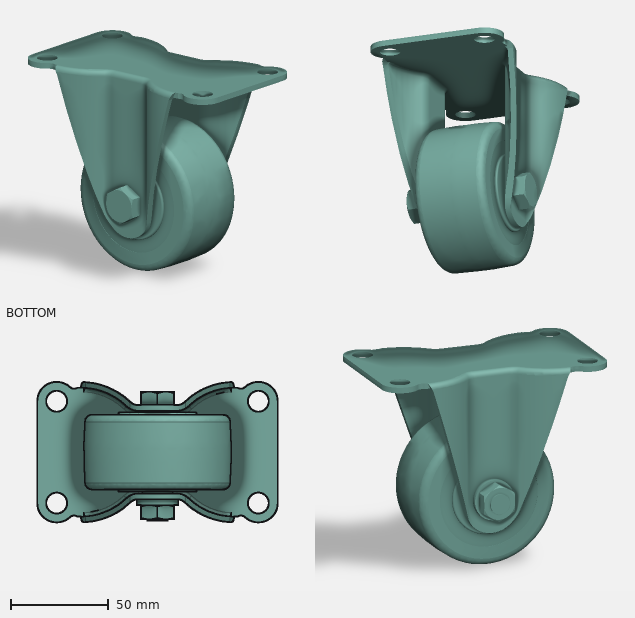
import cadquery as cq
import math


sheet = 3.0
inner_bend = 2.0
plate_length = 123.0
plate_width = 72.0
lobe_radius = 10.0
hole_diameter = 10.6
hole_x = plate_length / 2 - lobe_radius
hole_y = plate_width / 2 - lobe_radius

leg_inner_y = 21.2
flat_half = 10.0
turn_radius = 8.6
flank_radius = 33.5
turn_angle = math.radians(44)
turn_y = leg_inner_y + turn_radius
flank_x = flat_half + (turn_radius + flank_radius) * math.sin(turn_angle)
flank_y = turn_y - (turn_radius + flank_radius) * math.cos(turn_angle)
flank_top_y = flank_y + flank_radius

notch_radius = 3.1
notch_depth = 0.5
notch_y = flank_top_y - notch_depth + notch_radius
notch_x = hole_x - math.sqrt((lobe_radius + notch_radius) ** 2 - (notch_y - hole_y) ** 2)
notch_end_x = notch_x - math.sqrt(notch_radius**2 - (notch_y - flank_top_y) ** 2)

leg_bottom = -86.7
leg_end_radius = 14.8
leg_taper = math.radians(17.6)
flare_z = -4.0

axle_z = -68.4
tyre_radius = 37.6
tyre_edge_radius = 36.9
tyre_half_width = 19.2
tyre_round = 3.8
hub_radius = 26.9
hub_setback = 0.2
hub_half_width = tyre_half_width - hub_setback
boss_radius = 20.2
boss_face_y = 20.3
boss_round = 0.9
spacer_radius = 7.9

bolt_diameter = 10.6
bolt_tip_y = 35.2
hex_flats = 17.0
head_height = 6.8
washer_radius = 10.7
washer_thickness = 3.0
nut_height = 7.3
hex_chamfer_angle = math.radians(30)

leg_outer_y = leg_inner_y + sheet


def leg_prism(offset, top, depth):
    """Prism between both leg curves, moved outwards from the inside face by offset."""
    turn = turn_radius - offset
    flank = flank_radius + offset
    half_angle = turn_angle / 2
    quarter = [
        (flat_half, turn_y - turn),
        (flat_half + turn * math.sin(half_angle), turn_y - turn * math.cos(half_angle)),
        (flat_half + turn * math.sin(turn_angle), turn_y - turn * math.cos(turn_angle)),
        (flank_x - flank * math.sin(half_angle), flank_y + flank * math.cos(half_angle)),
        (flank_x, flank_y + flank),
    ]

    def along(outline, points):
        flat_end, turn_mid, turn_end, flank_mid, flank_end = points
        outline = outline.lineTo(*flat_end).threePointArc(turn_mid, turn_end)
        return outline.threePointArc(flank_mid, flank_end)

    def back(outline, points):
        flat_end, turn_mid, turn_end, flank_mid, flank_end = points
        outline = outline.lineTo(*flank_end)
        return outline.threePointArc(flank_mid, turn_end).threePointArc(turn_mid, flat_end)

    def mirrored(sign_x, sign_y):
        return [(sign_x * x, sign_y * y) for x, y in quarter]

    outline = cq.Workplane("XY", origin=(0, 0, top)).moveTo(0, quarter[0][1])
    outline = along(outline, mirrored(1, 1))
    outline = back(outline, mirrored(1, -1))
    outline = along(outline, mirrored(-1, -1))
    outline = back(outline, mirrored(-1, 1))
    return outline.close().extrude(-depth)


def leg_side_outline():
    """Tapered front outline of the legs with a round lower end, as a long prism along Y."""
    end_center_z = leg_bottom + leg_end_radius
    tangent_x = leg_end_radius * math.cos(leg_taper)
    tangent_z = end_center_z - leg_end_radius * math.sin(leg_taper)
    flare_x = tangent_x + (flare_z - tangent_z) * math.tan(leg_taper)
    return (
        cq.Workplane("XZ")
        .moveTo(-flank_x, 0)
        .lineTo(-flare_x, flare_z)
        .lineTo(-tangent_x, tangent_z)
        .threePointArc((0, leg_bottom), (tangent_x, tangent_z))
        .lineTo(flare_x, flare_z)
        .lineTo(flank_x, 0)
        .close()
        .extrude(plate_width, both=True)
    )


def plate_end():
    """Flat plate end at +X with two round lobes, from the notches outwards."""
    lobe_to_notch = math.atan2(notch_y - hole_y, notch_x - hole_x)
    lobe_mid = lobe_to_notch / 2
    notch_start = (
        hole_x + lobe_radius * math.cos(lobe_to_notch),
        hole_y + lobe_radius * math.sin(lobe_to_notch),
    )
    lobe_point = (hole_x + lobe_radius * math.cos(lobe_mid), hole_y + lobe_radius * math.sin(lobe_mid))
    notch_bottom = (notch_x, notch_y - notch_radius)

    def flip(point):
        return (point[0], -point[1])

    notch_end = (notch_end_x, flank_top_y)
    lobe_start = (plate_length / 2, hole_y)
    return (
        cq.Workplane("XY")
        .moveTo(flank_x, -flank_top_y)
        .lineTo(*flip(notch_end))
        .threePointArc(flip(notch_bottom), flip(notch_start))
        .threePointArc(flip(lobe_point), flip(lobe_start))
        .lineTo(*lobe_start)
        .threePointArc(lobe_point, notch_start)
        .threePointArc(notch_bottom, notch_end)
        .lineTo(flank_x, flank_top_y)
        .close()
        .extrude(-sheet)
    )


def make_bracket():
    outer = leg_prism(sheet, 0, -leg_bottom).faces(">Z").edges("not |Y").fillet(sheet)
    cavity = leg_prism(0, -sheet, -leg_bottom).faces(">Z").edges("not |Y").fillet(inner_bend)
    bracket = outer.cut(cavity).intersect(leg_side_outline())
    end = plate_end()
    bracket = bracket.union(leg_prism(0, 0, sheet)).union(end).union(end.mirror("YZ"))
    holes = (
        cq.Workplane("XY")
        .rect(2 * hole_x, 2 * hole_y, forConstruction=True)
        .vertices()
        .circle(hole_diameter / 2)
        .extrude(-sheet)
    )
    return bracket.cut(holes)


def axle_cylinder(radius, start_y, end_y):
    plane = cq.Plane(origin=(0, start_y, axle_z), xDir=(1, 0, 0), normal=(0, 1, 0))
    return cq.Workplane(plane).circle(radius).extrude(end_y - start_y)


def make_wheel():
    tread = (
        cq.Workplane("XY")
        .moveTo(0, -tyre_half_width)
        .lineTo(tyre_edge_radius, -tyre_half_width)
        .threePointArc((tyre_radius, 0), (tyre_edge_radius, tyre_half_width))
        .lineTo(0, tyre_half_width)
        .close()
        .revolve(360, (0, 0), (0, 1))
        .faces("<Y or >Y")
        .edges()
        .fillet(tyre_round)
        .translate((0, 0, axle_z))
    )
    boss = axle_cylinder(boss_radius, -boss_face_y, boss_face_y).faces("<Y or >Y").edges().fillet(boss_round)
    spacer = axle_cylinder(spacer_radius, -leg_inner_y, leg_inner_y)
    bore = axle_cylinder(bolt_diameter / 2, -leg_inner_y, leg_inner_y)
    hub_recess = axle_cylinder(hub_radius, hub_half_width, tyre_half_width)
    tread = tread.cut(hub_recess).cut(hub_recess.mirror("XZ"))
    return tread.union(boss).union(spacer).cut(bore)


def hexagon(start_y, height, chamfer_start):
    """Hexagon with corners up and down; the +Y end is chamfered, and the start end if asked."""
    corner_radius = hex_flats / 2 / math.cos(math.pi / 6)
    chamfer_width = corner_radius - hex_flats / 2
    chamfer_height = chamfer_width * math.tan(hex_chamfer_angle)
    plane = cq.Plane(origin=(0, start_y, axle_z), xDir=(0, 0, 1), normal=(0, 1, 0))
    prism = cq.Workplane(plane).polygon(6, 2 * corner_radius).extrude(height)
    turned = axle_cylinder(corner_radius, start_y, start_y + height)
    turned = turned.faces(">Y").chamfer(chamfer_height, chamfer_width)
    if chamfer_start:
        turned = turned.faces("<Y").chamfer(chamfer_height, chamfer_width)
    return prism.intersect(turned)


def make_axle():
    washer_end_y = leg_outer_y + washer_thickness
    shank = axle_cylinder(bolt_diameter / 2, -leg_outer_y, bolt_tip_y)
    head = hexagon(leg_outer_y, head_height, False).mirror("XZ")
    washer = axle_cylinder(washer_radius, leg_outer_y, washer_end_y)
    nut = hexagon(washer_end_y, nut_height, True)
    return shank.union(head).union(washer).union(nut)


wheel = make_wheel()
axle = make_axle()
bracket = make_bracket().cut(axle)

result = cq.Compound.makeCompound([*bracket.solids().vals(), *wheel.solids().vals(), *axle.solids().vals()])